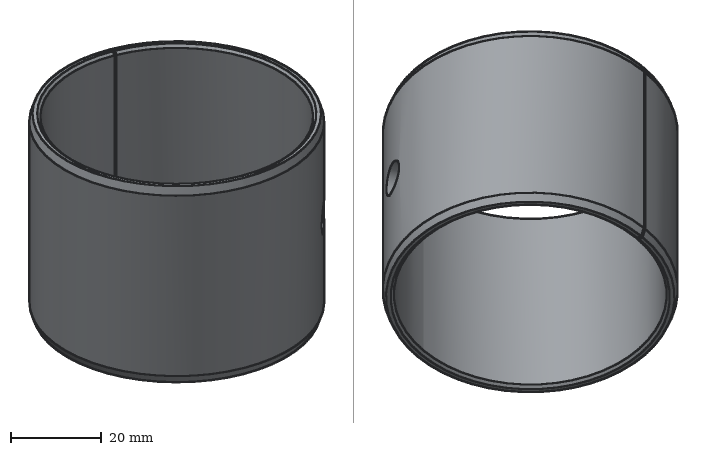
import cadquery as cq
import math

outer_diameter = 65.0
wall = 2.5
height = 50.0
outer_radius = outer_diameter / 2
inner_radius = outer_radius - wall

outer_chamfer_height = 2.0
outer_chamfer_angle = 20.0
outer_chamfer_depth = outer_chamfer_height * math.tan(math.radians(outer_chamfer_angle))

inner_chamfer = 0.7

slit_width = 0.5

hole_diameter = 8.0
hole_angle = 59.0


def make_sleeve():
    """Revolve the wall section, chamfered at all four corners."""
    top = height / 2
    outer_shoulder = top - outer_chamfer_height
    inner_shoulder = top - inner_chamfer
    outer_rim = outer_radius - outer_chamfer_depth
    inner_rim = inner_radius + inner_chamfer
    section = [
        (inner_radius, -inner_shoulder),
        (inner_rim, -top),
        (outer_rim, -top),
        (outer_radius, -outer_shoulder),
        (outer_radius, outer_shoulder),
        (outer_rim, top),
        (inner_rim, top),
        (inner_radius, inner_shoulder),
    ]
    return cq.Workplane("XZ").polyline(section).close().revolve(360, (0, 0), (0, 1))


def make_slit():
    """Full-height slot through the -X wall, with one face on the XZ plane."""
    blank = cq.Workplane("XY").box(outer_diameter, slit_width, height)
    return blank.translate((-outer_radius, slit_width / 2, 0))


def make_oil_hole():
    """Radial hole through one side of the wall, at mid height."""
    return (
        cq.Workplane("YZ")
        .circle(hole_diameter / 2)
        .extrude(outer_diameter)
        .rotate((0, 0, 0), (0, 0, 1), hole_angle)
    )


result = make_sleeve().cut(make_slit()).cut(make_oil_hole())